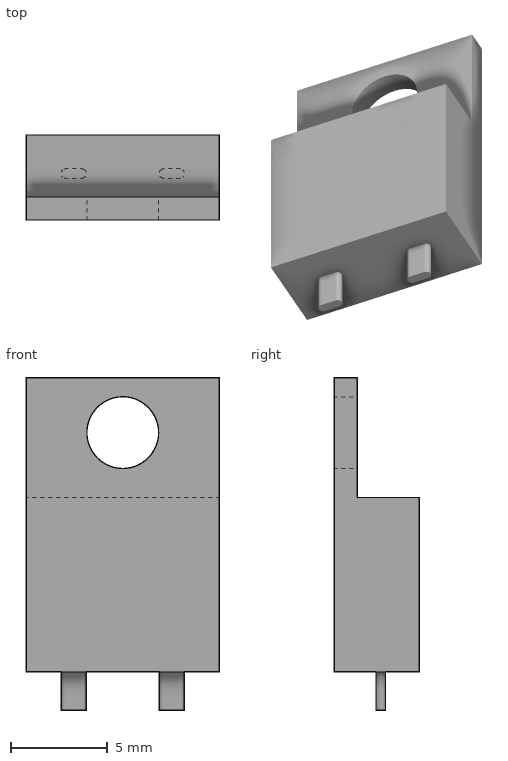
import cadquery as cq

width = 10.0
depth = 4.4
height = 17.2

tab_thickness = 1.2
tab_height = 6.2
hole_diameter = 3.7
hole_below_top = 2.84

pin_length = 2.0
pin_width = 1.3
pin_thickness = 0.5
pin_spacing = 5.07
pin_from_front = 2.4

block_top = height - tab_height


def make_body():
    """L-shaped side profile extruded across the width."""
    profile = [
        (0, pin_length),
        (depth, pin_length),
        (depth, block_top),
        (tab_thickness, block_top),
        (tab_thickness, height),
        (0, height),
    ]
    return cq.Workplane("YZ").polyline(profile).close().extrude(width / 2, both=True)


def make_mounting_hole():
    """Round cutter through the tab from front to back."""
    return (
        cq.Workplane("XZ")
        .center(0, height - hole_below_top)
        .circle(hole_diameter / 2)
        .extrude(-tab_thickness)
    )


def make_pins():
    """Two flat pins below the block."""
    return (
        cq.Workplane("XY")
        .pushPoints([(side * pin_spacing / 2, pin_from_front) for side in (-1, 1)])
        .slot2D(pin_width, pin_thickness)
        .extrude(pin_length)
    )


result = make_body().cut(make_mounting_hole()).union(make_pins())